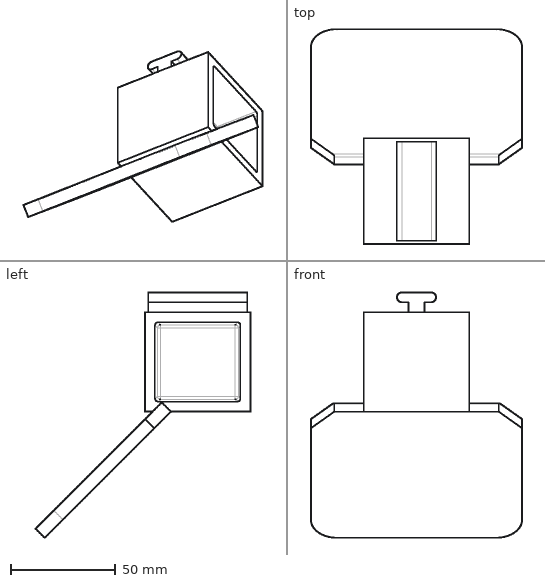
import cadquery as cq

block_width = 50.7
block_height = 47.8
wall = 4.8
cavity_depth = 22.4
cavity_draft = 3.0
cavity_fillet = 1.5

rail_length = 47.7
rail_head_width = 18.9
rail_head_height = 4.8
rail_stem_width = 7.8
rail_stem_height = 4.7

plate_width = 101.6
plate_length = 85.8
plate_thickness = 6.3
plate_chamfer = 11.3
plate_bottom_radius = 12.4
plate_tilt = 45.0
plate_edge_radius = 1.0
plate_tip_y = 12.9


def make_block():
    return cq.Workplane("XY").box(block_width, block_width, block_height, centered=(True, True, False))


def make_cavity():
    """Drafted pocket that opens on the -X side, with all its inner edges rounded."""
    opening_plane = cq.Plane(
        origin=(-block_width / 2, 0, block_height / 2),
        xDir=(0, 1, 0),
        normal=(1, 0, 0),
    )
    return (
        cq.Workplane(opening_plane)
        .rect(block_width - 2 * wall, block_height - 2 * wall)
        .extrude(cavity_depth, taper=cavity_draft)
        .edges("not <X")
        .fillet(cavity_fillet)
    )


def make_rail():
    """T-section rail with half-round head sides, standing on the block along Y."""
    stem = (
        cq.Workplane("XY", origin=(0, 0, block_height))
        .box(rail_stem_width, rail_length, rail_stem_height, centered=(True, True, False))
    )
    head_centre_z = block_height + rail_stem_height + rail_head_height / 2
    head = (
        cq.Workplane("XZ", origin=(0, rail_length / 2, head_centre_z))
        .slot2D(rail_head_width, rail_head_height)
        .extrude(rail_length)
    )
    return stem.union(head)


def make_plate():
    """Plate built upright below Z = 0, then tilted about the lower edge of its top end."""
    plate = (
        cq.Workplane("XY", origin=(0, plate_thickness / 2, -plate_length))
        .box(plate_width, plate_thickness, plate_length, centered=(True, True, False))
    )
    plate = plate.edges("|Y and >Z").chamfer(plate_chamfer)
    plate = plate.edges("|Y and <Z").fillet(plate_bottom_radius)
    plate = plate.edges(">Z and >Y").fillet(plate_edge_radius)
    plate = plate.rotate((0, 0, 0), (1, 0, 0), plate_tilt)
    return plate.translate((0, plate_tip_y, 0))


result = make_block().cut(make_cavity()).union(make_rail()).union(make_plate())